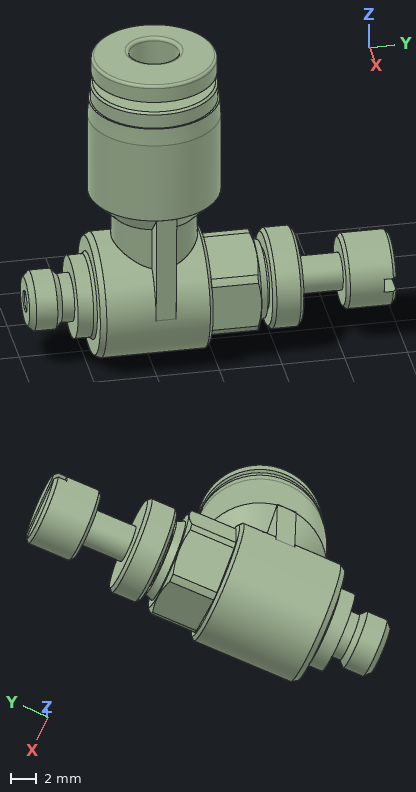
import cadquery as cq
import math


BODY_DIAMETER = 10.0
BODY_FRONT_Y = -5.2
BODY_REAR_Y = 3.8
BODY_CHAMFER = 0.27
BODY_FRONT_CHAMFER_LENGTH = 0.47

FLANGE_DIAMETER = 6.6
FLANGE_BASE_DIAMETER = 7.0
FLANGE_BASE_LENGTH = 0.25
FLANGE_LENGTH = 1.5
PLUG_NECK_DIAMETER = 3.88
PLUG_NECK_LENGTH = 0.97
PLUG_DIAMETER = 4.83
PLUG_TIP_DIAMETER = 3.88
PLUG_TIP_Y = -10.3
PLUG_CHAMFER = (PLUG_DIAMETER - PLUG_TIP_DIAMETER) / 2

HEX_ACROSS_FLATS = 8.0
HEX_CORNER_DIAMETER = 8.88
HEX_LENGTH = 4.03
HEX_CHAMFER_LENGTH = 0.27
HEX_END_DIAMETER = 7.9
COLLAR_BASE_DIAMETER = 6.74
COLLAR_TIP_DIAMETER = 6.2
COLLAR_LENGTH = 0.66
REAR_NECK_DIAMETER = 5.0
REAR_NECK_LENGTH = 0.25

NUT_DIAMETER = 8.0
NUT_LENGTH = 2.5
STEM_DIAMETER = 3.0
STEM_LENGTH = 3.56
KNOB_DIAMETER = 6.0
KNOB_LENGTH = 4.0
KNOB_CHAMFER = 0.28
SLOT_WIDTH = 1.15
SLOT_DEPTH = 1.0

PORT_NECK_DIAMETER = 6.8
SLEEVE_DIAMETER = 10.5
SLEEVE_BOTTOM_Z = 9.11
SLEEVE_TAPER_Z = 15.87
SLEEVE_TOP_Z = 17.33
SLEEVE_TOP_DIAMETER = 10.3
RING_DIAMETER = 10.0
RING_TOP_Z = 18.7
RING_CHAMFER = 0.18
CAP_DIAMETER = 9.9
CAP_NECK_DIAMETER = 5.97
CAP_NECK_FILLET = 0.3
CAP_BOTTOM_Z = 19.62
CAP_TOP_Z = 21.5
CAP_SLOPE = math.radians(9)
CAP_EDGE_FILLET = 0.25

TUBE_BORE_DIAMETER = 3.97
TUBE_BORE_MOUTH_DIAMETER = 4.53
TUBE_BORE_FLOOR_Z = SLEEVE_BOTTOM_Z
PASSAGE_DIAMETER = 1.5
PASSAGE_CHAMFER = 0.1

RIB_THICKNESS = 1.6


def turned_about_y(stations):
    """Solid of revolution about Y through (y, diameter) stations, in order along Y."""
    outline = [(diameter / 2, y) for y, diameter in stations]
    first_y = stations[0][0]
    last_y = stations[-1][0]
    profile = cq.Workplane("XY").polyline([(0, first_y)] + outline + [(0, last_y)]).close()
    return profile.revolve(360, (0, 0, 0), (0, 1, 0))


def chamfered_disc(start_y, length, diameter, chamfer):
    end_y = start_y + length
    edge_diameter = diameter - 2 * chamfer
    return turned_about_y([
        (start_y, edge_diameter),
        (start_y + chamfer, diameter),
        (end_y - chamfer, diameter),
        (end_y, edge_diameter),
    ])


def make_valve_body():
    edge_diameter = BODY_DIAMETER - 2 * BODY_CHAMFER
    return turned_about_y([
        (BODY_FRONT_Y, edge_diameter),
        (BODY_FRONT_Y + BODY_FRONT_CHAMFER_LENGTH, BODY_DIAMETER),
        (BODY_REAR_Y - BODY_CHAMFER, BODY_DIAMETER),
        (BODY_REAR_Y, edge_diameter),
    ])


def make_plug():
    flange_front_y = BODY_FRONT_Y - FLANGE_LENGTH
    neck_front_y = flange_front_y - PLUG_NECK_LENGTH
    neck_cone_length = (PLUG_DIAMETER - PLUG_NECK_DIAMETER) / 2
    return turned_about_y([
        (PLUG_TIP_Y, PLUG_TIP_DIAMETER),
        (PLUG_TIP_Y + PLUG_CHAMFER, PLUG_DIAMETER),
        (neck_front_y - neck_cone_length, PLUG_DIAMETER),
        (neck_front_y, PLUG_NECK_DIAMETER),
        (flange_front_y, PLUG_NECK_DIAMETER),
        (flange_front_y, FLANGE_DIAMETER),
        (BODY_FRONT_Y - FLANGE_BASE_LENGTH, FLANGE_DIAMETER),
        (BODY_FRONT_Y, FLANGE_BASE_DIAMETER),
        (0, FLANGE_BASE_DIAMETER),
    ])


def make_hexagon():
    """Hexagon with two flats facing +X and -X, its corners and rear end turned down."""
    end_y = BODY_REAR_Y + HEX_LENGTH
    across_corners = HEX_ACROSS_FLATS / math.cos(math.pi / 6)
    prism = (
        cq.Workplane("XZ")
        .transformed(rotate=(0, 0, 30))
        .polygon(6, across_corners)
        .extrude(-end_y)
    )
    envelope = turned_about_y([
        (0, HEX_CORNER_DIAMETER),
        (end_y - HEX_CHAMFER_LENGTH, HEX_CORNER_DIAMETER),
        (end_y, HEX_END_DIAMETER),
    ])
    return prism.intersect(envelope)


def make_adjuster():
    """Collar, lock nut, stem and slotted knob, built outward along +Y."""
    collar_y = BODY_REAR_Y + HEX_LENGTH
    neck_y = collar_y + COLLAR_LENGTH
    nut_y = neck_y + REAR_NECK_LENGTH
    stem_y = nut_y + NUT_LENGTH
    knob_y = stem_y + STEM_LENGTH
    knob_end_y = knob_y + KNOB_LENGTH
    core = turned_about_y([
        (0, COLLAR_BASE_DIAMETER),
        (collar_y, COLLAR_BASE_DIAMETER),
        (neck_y, COLLAR_TIP_DIAMETER),
        (neck_y, REAR_NECK_DIAMETER),
        (nut_y, REAR_NECK_DIAMETER),
        (nut_y, STEM_DIAMETER),
        (knob_y, STEM_DIAMETER),
    ])
    nut = chamfered_disc(nut_y, NUT_LENGTH, NUT_DIAMETER, KNOB_CHAMFER)
    knob = chamfered_disc(knob_y, KNOB_LENGTH, KNOB_DIAMETER, KNOB_CHAMFER)
    slot = (
        cq.Workplane("XY")
        .box(KNOB_DIAMETER, 2 * SLOT_DEPTH, SLOT_WIDTH)
        .translate((0, knob_end_y, 0))
    )
    return core.union(nut).union(knob.cut(slot))


def make_port():
    """Tube port turned about Z: neck, sleeve, ring and release cap."""
    neck_radius = PORT_NECK_DIAMETER / 2
    sleeve_radius = SLEEVE_DIAMETER / 2
    ring_radius = RING_DIAMETER / 2
    cap_radius = CAP_DIAMETER / 2
    cap_neck_radius = CAP_NECK_DIAMETER / 2
    mouth_radius = TUBE_BORE_MOUTH_DIAMETER / 2
    cap_rim_z = CAP_TOP_Z - (cap_radius - mouth_radius) * math.tan(CAP_SLOPE)
    profile = (
        cq.Workplane("XZ")
        .polyline([
            (0, 0),
            (neck_radius, 0),
            (neck_radius, SLEEVE_BOTTOM_Z - (sleeve_radius - neck_radius)),
            (sleeve_radius, SLEEVE_BOTTOM_Z),
            (sleeve_radius, SLEEVE_TAPER_Z),
            (SLEEVE_TOP_DIAMETER / 2, SLEEVE_TOP_Z),
            (ring_radius, SLEEVE_TOP_Z),
            (ring_radius, RING_TOP_Z - RING_CHAMFER),
            (ring_radius - RING_CHAMFER, RING_TOP_Z),
            (cap_neck_radius, RING_TOP_Z),
            (cap_neck_radius, CAP_BOTTOM_Z - CAP_NECK_FILLET),
        ])
        .tangentArcPoint((CAP_NECK_FILLET, CAP_NECK_FILLET))
        .lineTo(cap_radius, CAP_BOTTOM_Z)
        .lineTo(cap_radius, cap_rim_z)
        .lineTo(mouth_radius, CAP_TOP_Z)
        .lineTo(0, CAP_TOP_Z)
        .close()
    )
    port = profile.revolve(360, (0, 0, 0), (0, 1, 0))
    rim_margin = CAP_EDGE_FILLET / 2
    cap_rim = cq.selectors.BoxSelector(
        (-CAP_DIAMETER, -CAP_DIAMETER, cap_rim_z - rim_margin),
        (CAP_DIAMETER, CAP_DIAMETER, cap_rim_z + rim_margin),
        boundingbox=True,
    )
    return port.edges(cap_rim).edges("%CIRCLE").fillet(CAP_EDGE_FILLET)


def make_ribs():
    """One web across the port, tapering from the sleeve width to the body width."""
    top_half_width = SLEEVE_DIAMETER / 2
    bottom_half_width = BODY_DIAMETER / 2
    return (
        cq.Workplane("XZ")
        .polyline([
            (-bottom_half_width, 0),
            (bottom_half_width, 0),
            (top_half_width, SLEEVE_BOTTOM_Z),
            (-top_half_width, SLEEVE_BOTTOM_Z),
        ])
        .close()
        .extrude(RIB_THICKNESS / 2, both=True)
    )


def make_passages():
    """Stepped tube bore with a rounded mouth, and a small elbow passage with a ball-shaped corner."""
    bore_radius = TUBE_BORE_DIAMETER / 2
    mouth_radius = TUBE_BORE_MOUTH_DIAMETER / 2
    mouth_fillet = mouth_radius - bore_radius
    passage_radius = PASSAGE_DIAMETER / 2
    vertical = (
        cq.Workplane("XZ")
        .polyline([
            (0, 0),
            (passage_radius, 0),
            (passage_radius, TUBE_BORE_FLOOR_Z),
            (bore_radius, TUBE_BORE_FLOOR_Z),
            (bore_radius, CAP_TOP_Z - mouth_fillet),
        ])
        .tangentArcPoint((mouth_fillet, mouth_fillet))
        .lineTo(0, CAP_TOP_Z)
        .close()
        .revolve(360, (0, 0, 0), (0, 1, 0))
    )
    horizontal = turned_about_y([
        (PLUG_TIP_Y, PASSAGE_DIAMETER + 2 * PASSAGE_CHAMFER),
        (PLUG_TIP_Y + PASSAGE_CHAMFER, PASSAGE_DIAMETER),
        (0, PASSAGE_DIAMETER),
    ])
    corner = cq.Workplane("XY").sphere(passage_radius)
    return vertical.union(horizontal).union(corner)


fitting = make_valve_body()
for section in (make_plug(), make_hexagon(), make_adjuster(), make_port(), make_ribs()):
    fitting = fitting.union(section)

result = fitting.cut(make_passages())